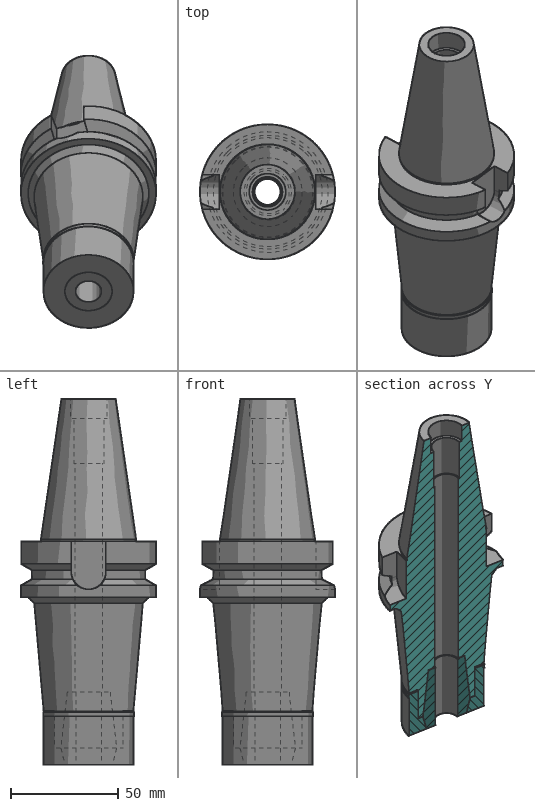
import cadquery as cq
import math


shank_length = 65.4
gauge_radius = 44.45 / 2
taper_ratio = 7 / 24
shank_end_radius = gauge_radius - shank_length * taper_ratio / 2

flange_radius = 63 / 2
flange_top = -1.0
flange_bottom = -27.0
shank_root_radius = 22.0
groove_center = -16.5
groove_mouth = 10.0
groove_floor_radius = 53 / 2
groove_flank_angle = 60.0
groove_flank_height = (flange_radius - groove_floor_radius) / math.tan(math.radians(groove_flank_angle))
groove_floor = groove_mouth - 2 * groove_flank_height

slot_width = 16.1
slot_inner_x = 22.4
slot_bottom = -23.3

neck_radius = 25.35
neck_chamfer = 2.75
body_bottom = -80.0
body_end_radius = 20.95

nut_gap = 0.5
nut_top = body_bottom - nut_gap
nut_bottom = -105.0
nut_radius = 21.0
collar_radius = 21.2
collar_height = 2.0

nose_radius = 16.0
nose_bottom = -97.0

collet_length = 34.0
collet_top = nut_bottom + collet_length
collet_small_radius = 10.0
collet_large_radius = 13.0
collet_face_radius = 11.0
collet_bore_radius = 6.0

counterbore_radius = 17 / 2
counterbore_depth = 9.0
thread_radius = 14 / 2
thread_depth = 30.0
coolant_radius = 13 / 2


def revolved(points):
    """Turn a closed outline of (radius, height) points around the Z axis."""
    return cq.Workplane("YZ").polyline(points).close().revolve(360, (0, 0, 0), (0, 1, 0))


def drive_slot(side):
    """Cutter for one round-bottomed drive slot; side is +1 or -1 along X."""
    arc_center = slot_bottom + slot_width / 2
    cutter = (
        cq.Workplane("YZ", origin=(side * slot_inner_x, 0, 0))
        .moveTo(-slot_width / 2, 0)
        .lineTo(-slot_width / 2, arc_center)
        .threePointArc((0, slot_bottom), (slot_width / 2, arc_center))
        .lineTo(slot_width / 2, 0)
        .close()
        .extrude(side * flange_radius)
    )
    return cutter


def make_holder():
    outline = [
        (thread_radius, shank_length - counterbore_depth),
        (counterbore_radius, shank_length - counterbore_depth),
        (counterbore_radius, shank_length),
        (shank_end_radius, shank_length),
        (gauge_radius, 0),
        (shank_root_radius, flange_top),
        (flange_radius, flange_top),
        (flange_radius, groove_center + groove_mouth / 2),
        (groove_floor_radius, groove_center + groove_floor / 2),
        (groove_floor_radius, groove_center - groove_floor / 2),
        (flange_radius, groove_center - groove_mouth / 2),
        (flange_radius, flange_bottom),
        (neck_radius + neck_chamfer, flange_bottom),
        (neck_radius, flange_bottom - neck_chamfer),
        (body_end_radius, body_bottom),
        (nose_radius, body_bottom),
        (nose_radius, nose_bottom),
        (collet_large_radius, nose_bottom),
        (collet_small_radius, collet_top),
        (coolant_radius, collet_top),
        (coolant_radius, shank_length - thread_depth),
        (thread_radius, shank_length - thread_depth),
    ]
    body = revolved(outline)
    for side in (1, -1):
        body = body.cut(drive_slot(side))
    return body


def make_nut():
    outline = [
        (nose_radius, nut_top),
        (collar_radius, nut_top),
        (collar_radius, nut_top - collar_height),
        (nut_radius, nut_top - collar_height),
        (nut_radius, nut_bottom),
        (collet_face_radius, nut_bottom),
        (collet_large_radius, nose_bottom),
        (nose_radius, nose_bottom),
    ]
    return revolved(outline)


def make_collet():
    outline = [
        (collet_bore_radius, collet_top),
        (collet_small_radius, collet_top),
        (collet_large_radius, nose_bottom),
        (collet_face_radius, nut_bottom),
        (collet_bore_radius, nut_bottom),
    ]
    return revolved(outline)


holder = make_holder()
nut = make_nut()
collet = make_collet()

result = cq.Compound.makeCompound([holder.val(), nut.val(), collet.val()])